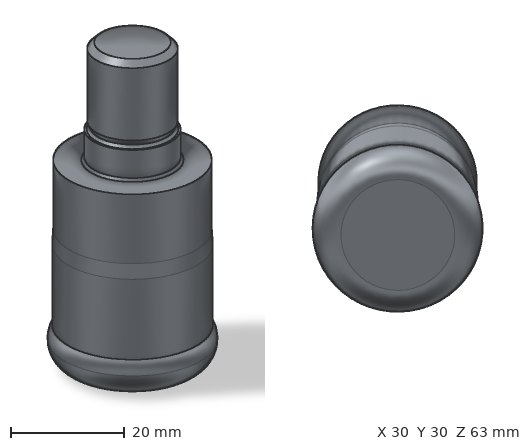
import cadquery as cq
import math

total_height = 63.0
foot_radius = 15.0

rim_round = 5.0
rim_centre = foot_radius - rim_round

lower_radius = 14.2
upper_radius = 14.0
taper_bottom = 23.5
taper_top = 26.45
shoulder_z = 40.0

collar_radius = 8.5
flare = 0.5
collar_top = 46.0

shank_radius = 8.0
shank_bottom = 47.6
undercut_radius = 7.5
undercut_z = 46.55
undercut_rim_radius = undercut_radius + undercut_z - collar_top
chamfer_height = 1.2
shank_top_radius = 6.75

foot_height = rim_round + math.sqrt(rim_round**2 - (lower_radius - rim_centre)**2)


def make_foot():
    """Round-rimmed disc that carries the body on its flat top."""
    return (
        cq.Workplane("XZ")
        .lineTo(rim_centre, 0)
        .radiusArc((foot_radius, rim_round), -rim_round)
        .radiusArc((lower_radius, foot_height), -rim_round)
        .lineTo(0, foot_height)
        .close()
        .revolve(360, (0, 0), (0, 1))
    )


def make_body():
    """Stepped barrel with its collar and chamfered shank."""
    outline = [
        (0, foot_height),
        (lower_radius, foot_height),
        (lower_radius, taper_bottom),
        (upper_radius, taper_top),
        (upper_radius, shoulder_z),
        (collar_radius + flare, shoulder_z),
        (collar_radius, shoulder_z + flare),
        (collar_radius, collar_top),
        (undercut_rim_radius, collar_top),
        (undercut_radius, undercut_z),
        (shank_radius, shank_bottom),
        (shank_radius, total_height - chamfer_height),
        (shank_top_radius, total_height),
        (0, total_height),
    ]
    return cq.Workplane("XZ").polyline(outline).close().revolve(360, (0, 0), (0, 1))


foot = make_foot()
body = make_body()
result = cq.Compound.makeCompound([foot.val(), body.val()])